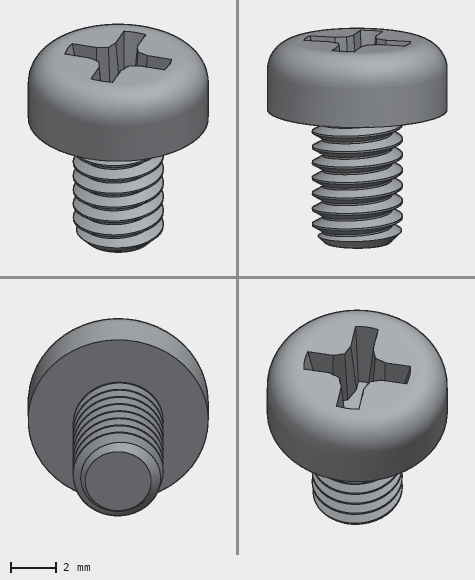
import cadquery as cq
import math

total_height = 9.1
head_diameter = 8.0
head_height = 3.1
crown_radius = 1.32
shank_length = total_height - head_height
clearance = 0.09

major_diameter = 4.0
minor_diameter = 3.09
pitch = 0.7
crest_width = pitch / 8
flank_angle = 30.0
crest_start_height = 0.58
tip_diameter = 2.93
root_overlap = 0.03

recess_depth = 3.0
mouth_span = 4.75
floor_span = 3.33
mouth_arm_width = 1.01
floor_arm_width = 0.51
mouth_corner = 0.69
floor_corner = 0.53
arm_flare_start = 1.17


def make_head():
    head = cq.Workplane("XY").workplane(offset=shank_length).circle(head_diameter / 2).extrude(head_height)
    return head.faces(">Z").edges().fillet(crown_radius)


def make_thread_ridge():
    major_radius = major_diameter / 2
    base_radius = minor_diameter / 2 - root_overlap
    half_crest = crest_width / 2
    half_base = half_crest + (major_radius - base_radius) * math.tan(math.radians(flank_angle))
    start = crest_start_height - 2 * pitch
    turns = math.ceil((shank_length - start) / pitch) + 1
    helix = cq.Wire.makeHelix(pitch, turns * pitch, base_radius).translate(cq.Vector(0, 0, start))
    profile = cq.Workplane("XZ").polyline([
        (base_radius, start - half_base),
        (major_radius, start - half_crest),
        (major_radius, start + half_crest),
        (base_radius, start + half_base),
    ]).close()
    return profile.sweep(cq.Workplane(helix), isFrenet=True)


def make_shank():
    """Threaded shank trimmed to length, with a conical lead-in at the tip."""
    envelope_radius = major_diameter / 2 + clearance
    tip_radius = tip_diameter / 2
    envelope = (
        cq.Workplane("XZ")
        .polyline([
            (0, 0),
            (tip_radius, 0),
            (envelope_radius, envelope_radius - tip_radius),
            (envelope_radius, shank_length),
            (0, shank_length),
        ])
        .close()
        .revolve(360, (0, 0, 0), (0, 1, 0))
    )
    core_margin = 3 * pitch
    core = (
        cq.Workplane("XY")
        .workplane(offset=-core_margin)
        .circle(minor_diameter / 2)
        .extrude(shank_length + 2 * core_margin)
    )
    return core.union(make_thread_ridge()).intersect(envelope)


def cross_outline(reach, arm_width, corner):
    """Cross with four equal arms that widen near the centre."""
    half_width = arm_width / 2
    quarter = [
        (reach, -half_width),
        (reach, half_width),
        (arm_flare_start, half_width),
        (corner, corner),
        (half_width, arm_flare_start),
    ]
    points = []
    for _ in range(4):
        points += quarter
        quarter = [(-y, x) for x, y in quarter]
    return points


def make_recess():
    reach = mouth_span / 2 + clearance
    cross = (
        cq.Workplane("XY")
        .workplane(offset=total_height - recess_depth)
        .polyline(cross_outline(reach, floor_arm_width, floor_corner))
        .close()
        .workplane(offset=recess_depth)
        .polyline(cross_outline(reach, mouth_arm_width, mouth_corner))
        .close()
        .loft(ruled=True)
    )
    end_cone = (
        cq.Workplane("XY")
        .workplane(offset=total_height - recess_depth)
        .circle(floor_span / 2)
        .workplane(offset=recess_depth)
        .circle(mouth_span / 2)
        .loft(ruled=True)
    )
    return cross.intersect(end_cone)


result = make_head().cut(make_recess()).union(make_shank())